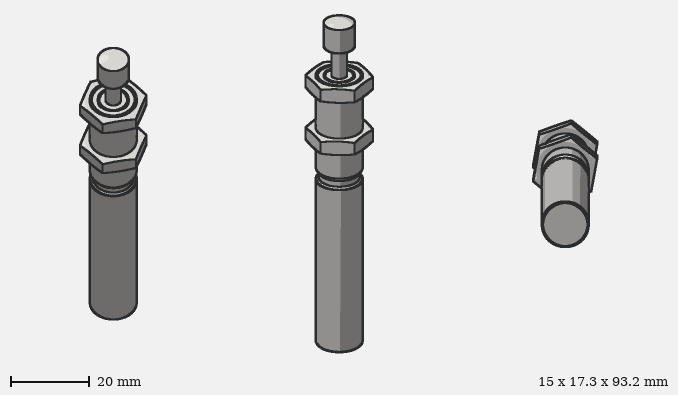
import cadquery as cq
import math

TOTAL_LENGTH = 93.2
BODY_LENGTH = 77.1

BODY_RADIUS = 12.0 / 2
TOP_CHAMFER = 0.6
BOTTOM_CHAMFER = 0.4

GROOVE_RADIUS = 10.4 / 2
GROOVE_BOTTOM = 47.1
GROOVE_FLOOR_BOTTOM = 47.6
GROOVE_FLOOR_TOP = 49.0
GROOVE_TOP = 50.4
BLEND_HEIGHT = 0.3
BLEND_WIDTH = 0.05

RING_OUTER_RADIUS = 7.9 / 2
RING_INNER_RADIUS = 7.2 / 2
RING_DEPTH = 0.4

ROD_RADIUS = 4.0 / 2
CAP_RADIUS = 8.0 / 2
CAP_BOTTOM = 85.3
CAP_CHAMFER = 0.3
DOME_HEIGHT = 0.9

NUT_FLATS = 15.0
NUT_HEIGHT = 4.0
NUT_CHAMFER_RADIUS = 7.4
NUT_CHAMFER_ANGLE = 15.0
LOWER_NUT_BOTTOM = 58.0
UPPER_NUT_BOTTOM = BODY_LENGTH - NUT_HEIGHT


def make_absorber():
    """Body, rod and cap as one turned solid, with the profile in the XZ plane."""
    dome_edge = TOTAL_LENGTH - DOME_HEIGHT
    dome_radius = (CAP_RADIUS**2 + DOME_HEIGHT**2) / (2 * DOME_HEIGHT)
    lower_cone_radius = GROOVE_RADIUS + GROOVE_FLOOR_BOTTOM - GROOVE_BOTTOM
    mid_radius = CAP_RADIUS / 2
    mid_height = TOTAL_LENGTH - dome_radius + math.sqrt(dome_radius**2 - mid_radius**2)
    return (
        cq.Workplane("XZ")
        .moveTo(0, 0)
        .lineTo(BODY_RADIUS - BOTTOM_CHAMFER, 0)
        .lineTo(BODY_RADIUS, BOTTOM_CHAMFER)
        .lineTo(BODY_RADIUS, GROOVE_BOTTOM)
        .lineTo(lower_cone_radius, GROOVE_BOTTOM)
        .lineTo(GROOVE_RADIUS, GROOVE_FLOOR_BOTTOM)
        .lineTo(GROOVE_RADIUS, GROOVE_FLOOR_TOP)
        .lineTo(GROOVE_RADIUS + BLEND_WIDTH, GROOVE_FLOOR_TOP + BLEND_HEIGHT)
        .lineTo(BODY_RADIUS, GROOVE_TOP)
        .lineTo(BODY_RADIUS, BODY_LENGTH - TOP_CHAMFER)
        .lineTo(BODY_RADIUS - TOP_CHAMFER, BODY_LENGTH)
        .lineTo(RING_OUTER_RADIUS, BODY_LENGTH)
        .lineTo(RING_OUTER_RADIUS, BODY_LENGTH - RING_DEPTH)
        .lineTo(RING_INNER_RADIUS, BODY_LENGTH - RING_DEPTH)
        .lineTo(RING_INNER_RADIUS, BODY_LENGTH)
        .lineTo(ROD_RADIUS, BODY_LENGTH)
        .lineTo(ROD_RADIUS, CAP_BOTTOM)
        .lineTo(CAP_RADIUS - CAP_CHAMFER, CAP_BOTTOM)
        .lineTo(CAP_RADIUS, CAP_BOTTOM + CAP_CHAMFER)
        .lineTo(CAP_RADIUS, dome_edge)
        .threePointArc((mid_radius, mid_height), (0, TOTAL_LENGTH))
        .close()
        .revolve(360, (0, 0, 0), (0, 1, 0))
    )


def make_nut(bottom):
    """Hexagon nut with corners on Y, chamfered on both faces, with a plain bore."""
    corner_radius = NUT_FLATS / 2 / math.cos(math.radians(30))
    chamfer_drop = (corner_radius - NUT_CHAMFER_RADIUS) * math.tan(math.radians(NUT_CHAMFER_ANGLE))
    hexagon = (
        cq.Workplane("XY")
        .polygon(6, 2 * corner_radius)
        .extrude(NUT_HEIGHT)
        .rotate((0, 0, 0), (0, 0, 1), 90)
    )
    blank = (
        cq.Workplane("XZ")
        .moveTo(BODY_RADIUS, 0)
        .lineTo(NUT_CHAMFER_RADIUS, 0)
        .lineTo(corner_radius, chamfer_drop)
        .lineTo(corner_radius, NUT_HEIGHT - chamfer_drop)
        .lineTo(NUT_CHAMFER_RADIUS, NUT_HEIGHT)
        .lineTo(BODY_RADIUS, NUT_HEIGHT)
        .close()
        .revolve(360, (0, 0, 0), (0, 1, 0))
    )
    return hexagon.intersect(blank).translate((0, 0, bottom))


absorber = make_absorber()
nuts = [make_nut(bottom) for bottom in (LOWER_NUT_BOTTOM, UPPER_NUT_BOTTOM)]

result = cq.Compound.makeCompound([absorber.val(), *[nut.val().Solids()[0] for nut in nuts]])